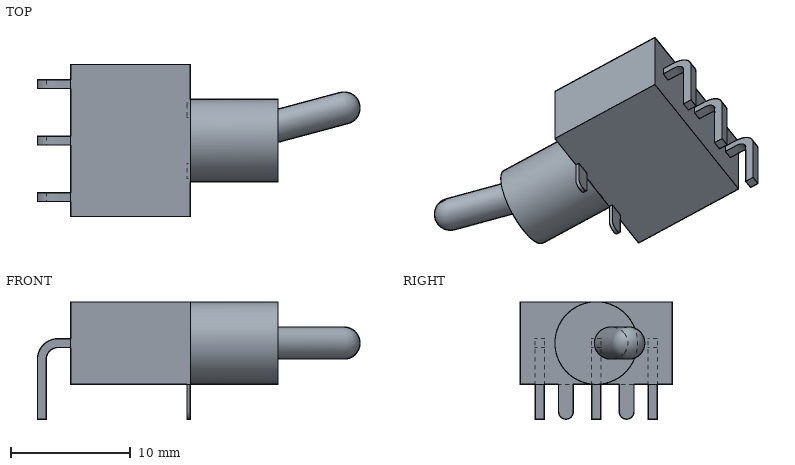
import cadquery as cq
import math

body_length = 10.0
body_width = 12.7
body_height = 6.9

bushing_diameter = 6.9
bushing_length = 7.32

lever_diameter = 2.7
lever_tilt = 15.0
lever_tip_x = 24.15
lever_pivot_x = 12.68

drop_below_body = 2.9
bottom_z = -body_height / 2 - drop_below_body

terminal_size = 0.75
terminal_reach = 2.77
terminal_bend_outer = 1.72
terminal_pitch = 4.7

tab_thickness = 0.3
tab_width = 1.25
tab_pitch = 5.05


def make_body():
    return cq.Workplane("XY").box(body_length, body_width, body_height).translate((body_length / 2, 0, 0))


def make_bushing():
    return cq.Workplane("YZ", origin=(body_length, 0, 0)).circle(bushing_diameter / 2).extrude(bushing_length)


def make_lever():
    radius = lever_diameter / 2
    ball_x = lever_tip_x - radius
    angle = math.radians(lever_tilt)
    direction = cq.Vector(math.cos(angle), math.sin(angle), 0)
    length = (ball_x - lever_pivot_x) / math.cos(angle)
    pivot = cq.Vector(lever_pivot_x, 0, 0)
    shaft = cq.Workplane(cq.Solid.makeCylinder(radius, length, pivot, direction))
    ball = cq.Workplane("XY").sphere(radius).translate(pivot + direction * length)
    return shaft.union(ball)


def make_terminal(y):
    half = terminal_size / 2
    outer_x = -terminal_reach
    inner_x = outer_x + terminal_size
    bend_x = outer_x + terminal_bend_outer
    bend_z = half - terminal_bend_outer
    bend_inner = terminal_bend_outer - terminal_size
    diagonal = math.sqrt(0.5)
    outer_mid = (bend_x - terminal_bend_outer * diagonal, bend_z + terminal_bend_outer * diagonal)
    inner_mid = (bend_x - bend_inner * diagonal, bend_z + bend_inner * diagonal)
    return (
        cq.Workplane("XZ", origin=(0, y, 0))
        .moveTo(0, half)
        .lineTo(bend_x, half)
        .threePointArc(outer_mid, (outer_x, bend_z))
        .lineTo(outer_x, bottom_z)
        .lineTo(inner_x, bottom_z)
        .lineTo(inner_x, bend_z)
        .threePointArc(inner_mid, (bend_x, -half))
        .lineTo(0, -half)
        .close()
        .extrude(half, both=True)
    )


def make_tab(y):
    radius = tab_width / 2
    round_z = bottom_z + radius
    return (
        cq.Workplane("YZ", origin=(body_length, y, 0))
        .moveTo(-radius, -body_height / 2)
        .lineTo(-radius, round_z)
        .threePointArc((0, bottom_z), (radius, round_z))
        .lineTo(radius, -body_height / 2)
        .close()
        .extrude(-tab_thickness)
    )


result = make_body().union(make_bushing()).union(make_lever())
for y in (-terminal_pitch, 0, terminal_pitch):
    result = result.union(make_terminal(y))
for y in (-tab_pitch / 2, tab_pitch / 2):
    result = result.union(make_tab(y))